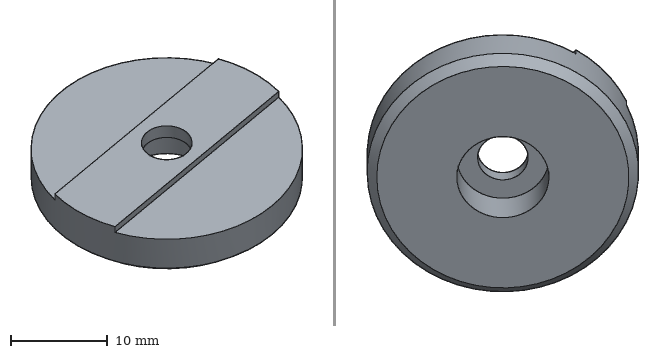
import cadquery as cq

disc_diameter = 28.0
disc_thickness = 5.0
bottom_chamfer = 1.0

key_width = 8.0
key_height = 0.8

hole_diameter = 5.2
recess_diameter = 9.5
hole_length = 1.6

total_height = disc_thickness + key_height
recess_depth = total_height - hole_length


def make_disc():
    disc = cq.Workplane("XY").circle(disc_diameter / 2).extrude(total_height)
    return disc.faces("<Z").chamfer(bottom_chamfer)


def cut_key_shoulders(body):
    """Lower the top face on both sides of the key."""
    shoulder_width = (disc_diameter - key_width) / 2
    shoulder_centre = (key_width + shoulder_width) / 2
    for side in (-1, 1):
        shoulder = (
            cq.Workplane("XY", origin=(side * shoulder_centre, 0, disc_thickness))
            .rect(shoulder_width, disc_diameter)
            .extrude(key_height)
        )
        body = body.cut(shoulder)
    return body


def cut_screw_hole(body):
    """Cut the through hole and the head recess that opens on the bottom face."""
    hole = cq.Workplane("XY").circle(hole_diameter / 2).extrude(total_height)
    recess = cq.Workplane("XY").circle(recess_diameter / 2).extrude(recess_depth)
    return body.cut(hole).cut(recess)


result = cut_screw_hole(cut_key_shoulders(make_disc()))